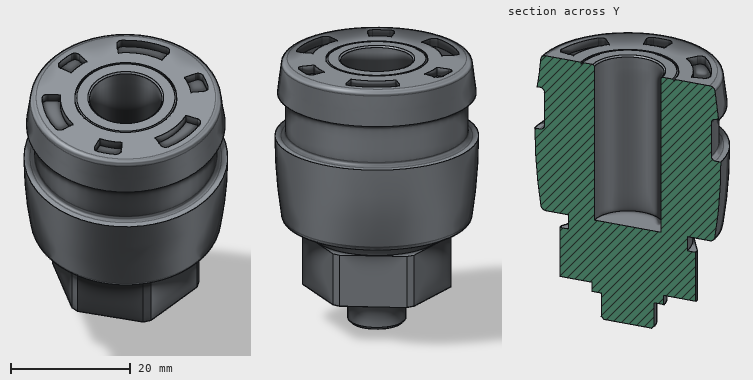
import cadquery as cq
import math

total_height = 46.5
pin_top = 4.75
collar_top = 6.4
nut_top = 15.5
sleeve_bottom = 18.0
sleeve_top = 32.88
head_bottom = 40.45

pin_diameter = 9.7
collar_diameter = 13.15
neck_diameter = 21.75
sleeve_base_diameter = 31.55
sleeve_middle_diameter = 33.4
sleeve_diameter = 34.0
groove_diameter = 30.5
head_base_diameter = 33.2
head_top_diameter = 31.65

pin_chamfer = 0.5
groove_fillet = 0.75
sleeve_fillet = 0.98
head_fillet = 0.98

nut_across_flats = 22.15
nut_across_corners = 24.8
nut_turn = 30.0

bush_diameter = 17.0
bush_chamfer = 0.33
bore_diameter = 12.1
bore_chamfer = 0.3
bore_depth = total_height - sleeve_bottom

pocket_inner_radius = 10.95
pocket_outer_radius = 13.95
pocket_corner_radius = 0.95
pocket_depth = 1.5
long_pocket_half_angle = 20.0
short_pocket_half_angle = 10.0
pockets_per_kind = 3
first_long_direction = 30.0


def turn(profile):
    """Revolve a closed half profile fully around the Z axis."""
    return profile.revolve(360, (0, 0, 0), (0, 1, 0))


def disc(diameter, bottom, top):
    return cq.Workplane("XY").workplane(offset=bottom).circle(diameter / 2).extrude(top - bottom)


def cone_band(bottom_diameter, top_diameter, bottom, top):
    """Solid band whose diameter changes evenly with height."""
    profile = [
        (0, bottom),
        (bottom_diameter / 2, bottom),
        (top_diameter / 2, top),
        (0, top),
    ]
    return turn(cq.Workplane("XZ").polyline(profile).close())


def make_sleeve():
    """Barrel-shaped sleeve with a rounded lower edge."""
    sleeve_middle = (sleeve_bottom + sleeve_top) / 2
    profile = (
        cq.Workplane("XZ")
        .moveTo(0, sleeve_bottom)
        .lineTo(sleeve_base_diameter / 2, sleeve_bottom)
        .threePointArc((sleeve_middle_diameter / 2, sleeve_middle), (sleeve_diameter / 2, sleeve_top))
        .lineTo(0, sleeve_top)
        .close()
    )
    return turn(profile).faces("<Z").edges().fillet(sleeve_fillet)


def make_head():
    head = cone_band(head_base_diameter, head_top_diameter, head_bottom, total_height)
    return head.faces(">Z").edges().fillet(head_fillet)


def make_groove_core():
    """Groove wall that flares into the sleeve below and the head above."""
    wall = groove_diameter / 2
    flare = wall + groove_fillet
    bend = groove_fillet * (1 - math.sqrt(0.5))
    profile = (
        cq.Workplane("XZ")
        .moveTo(0, sleeve_top)
        .lineTo(flare, sleeve_top)
        .threePointArc((wall + bend, sleeve_top + bend), (wall, sleeve_top + groove_fillet))
        .lineTo(wall, head_bottom - groove_fillet)
        .threePointArc((wall + bend, head_bottom - bend), (flare, head_bottom))
        .lineTo(0, head_bottom)
        .close()
    )
    return turn(profile)


def make_nut():
    """Hexagon with corners on the X axis, cut flat there by a second hexagon with flats facing X."""
    height = nut_top - collar_top
    base = cq.Workplane("XY").workplane(offset=collar_top)
    hexagon = base.polygon(6, nut_across_flats, circumscribed=True).extrude(height)
    corner_cutter = base.polygon(6, nut_across_corners, circumscribed=True).extrude(height)
    hexagon = hexagon.rotate((0, 0, 0), (0, 0, 1), nut_turn)
    return hexagon.intersect(corner_cutter)


def make_pocket(half_angle, direction):
    """Ring sector with rounded outer corners, centred on a direction in degrees."""
    def point(radius, angle):
        return (radius * math.cos(math.radians(angle)), radius * math.sin(math.radians(angle)))

    sector = (
        cq.Workplane("XY")
        .workplane(offset=total_height - pocket_depth)
        .moveTo(*point(pocket_inner_radius, -half_angle))
        .lineTo(*point(pocket_outer_radius, -half_angle))
        .threePointArc(point(pocket_outer_radius, 0), point(pocket_outer_radius, half_angle))
        .lineTo(*point(pocket_inner_radius, half_angle))
        .threePointArc(point(pocket_inner_radius, 0), point(pocket_inner_radius, -half_angle))
        .close()
        .extrude(pocket_depth)
    )
    sector = sector.edges("|Z").edges(">>X[-1]").fillet(pocket_corner_radius)
    return sector.rotate((0, 0, 0), (0, 0, 1), direction)


def make_bush_edge():
    """V-shaped ring cut left by the chamfered rim of the bush."""
    rim = bush_diameter / 2
    profile = [
        (rim - bush_chamfer, total_height),
        (rim, total_height),
        (rim, total_height - bush_chamfer),
    ]
    return turn(cq.Workplane("XZ").polyline(profile).close())


def make_bore():
    bore = disc(bore_diameter, total_height - bore_depth, total_height)
    mouth_diameter = bore_diameter + 2 * bore_chamfer
    mouth = cone_band(bore_diameter, mouth_diameter, total_height - bore_chamfer, total_height)
    return bore.union(mouth)


result = disc(pin_diameter, 0, pin_top).faces("<Z").edges().chamfer(pin_chamfer)
result = result.union(disc(collar_diameter, pin_top, collar_top))
result = result.union(make_nut())
result = result.union(disc(neck_diameter, nut_top, sleeve_bottom))
result = result.union(make_sleeve())
result = result.union(make_groove_core())
result = result.union(make_head())

result = result.cut(make_bore())
result = result.cut(make_bush_edge())

pocket_pitch = 360 / pockets_per_kind
for index in range(pockets_per_kind):
    long_direction = first_long_direction + index * pocket_pitch
    short_direction = long_direction + pocket_pitch / 2
    result = result.cut(make_pocket(long_pocket_half_angle, long_direction))
    result = result.cut(make_pocket(short_pocket_half_angle, short_direction))